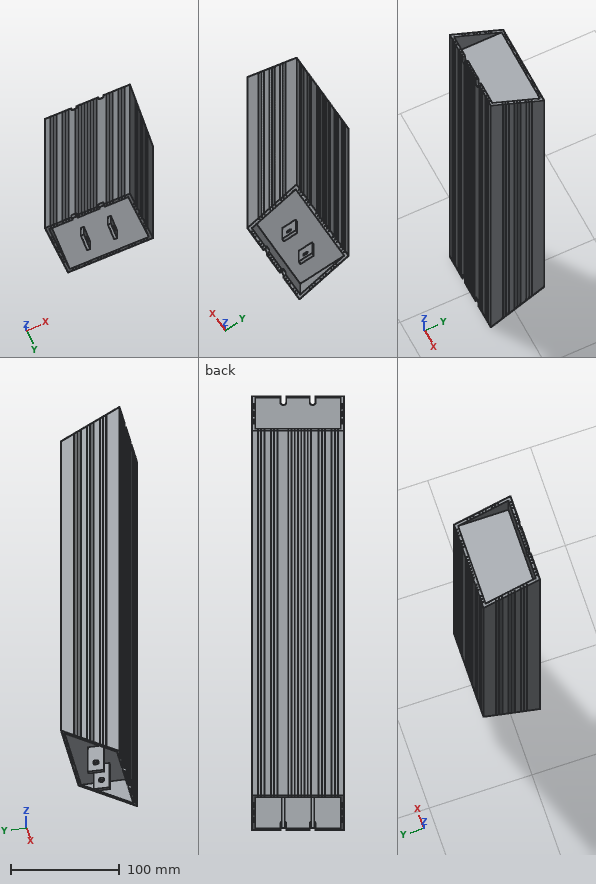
import cadquery as cq

width = 85.0
depth = 55.0
length = 400.0
wall = 3.0
miter_drop = 32.0

groove_width = 0.4
groove_depth = 1.5
groove_pitch = 3.0
grooves_per_group = 3
front_groups = (-34.0, -22.0, 22.0, 34.0)
middle_groove_count = 8
middle_groove_start = -12.0
side_groups = (-12.0, 0.0, 12.0)

notch_width = 5.0
notch_depth = 8.0
notch_offset = 13.5
notch_corner_radius = 2.0

lug_span = 30.0
lug_thickness = 3.0
lug_width = 15.0
lug_end_clearance = 2.0
lug_hole_diameter = 5.0
lug_hole_from_end = 9.75

core_bottom = miter_drop * (depth - wall) / depth
core_top = length - core_bottom


def make_box(size_x, size_y, bottom, top):
    """Box centred on the Z axis between two heights."""
    box = cq.Workplane("XY").workplane(offset=bottom)
    return box.rect(size_x, size_y).extrude(top - bottom)


def make_tube():
    """Rectangular tube cut at both ends by the miter planes."""
    half = depth / 2
    side_outline = [
        (-half, 0),
        (half, miter_drop),
        (half, length - miter_drop),
        (-half, length),
    ]
    body = cq.Workplane("YZ").polyline(side_outline).close().extrude(width / 2, both=True)
    return body.cut(make_box(width - 2 * wall, depth - 2 * wall, 0, length))


def group_positions(centre):
    """Groove positions of one group, spread evenly about its centre."""
    first = centre - groove_pitch * (grooves_per_group - 1) / 2
    return [first + groove_pitch * i for i in range(grooves_per_group)]


def groove_row(positions, face_distance):
    """Round-bottomed grooves along the face at y = -face_distance, as one cutting body."""
    half_width = groove_width / 2
    straight_end = groove_depth - half_width - face_distance
    grooves = cq.Workplane("XY")
    for x in positions:
        grooves = (
            grooves.moveTo(x - half_width, -face_distance)
            .lineTo(x + half_width, -face_distance)
            .lineTo(x + half_width, straight_end)
            .threePointArc((x, straight_end + half_width), (x - half_width, straight_end))
            .close()
        )
    return grooves.extrude(length)


def cut_grooves(body):
    """Cut the grooves into all four outer faces."""
    front_positions = [middle_groove_start + groove_pitch * i for i in range(middle_groove_count)]
    for centre in front_groups:
        front_positions += group_positions(centre)
    side_positions = []
    for centre in side_groups:
        side_positions += group_positions(centre)

    front_grooves = groove_row(front_positions, depth / 2)
    side_grooves = groove_row(side_positions, width / 2).rotate((0, 0, 0), (0, 0, 1), -90)
    for grooves, mirror_plane in ((front_grooves, "XZ"), (side_grooves, "YZ")):
        body = body.cut(grooves).cut(grooves.mirror(mirror_plane))
    return body


def notch_cutter():
    """Four notches through the -Y wall, with rounded inner corners."""
    points = [(x, z) for x in (-notch_offset, notch_offset) for z in (0, length)]
    notches = (
        cq.Workplane("XZ", origin=(0, -depth / 2, 0))
        .pushPoints(points)
        .rect(notch_width, 2 * notch_depth)
        .extrude(-wall)
    )
    return notches.edges("|Y").fillet(notch_corner_radius)


def make_lugs():
    """Two plates hanging below the core, drilled along X."""
    outer = make_box(lug_span, lug_width, lug_end_clearance, core_bottom)
    gap = make_box(lug_span - 2 * lug_thickness, lug_width, lug_end_clearance, core_bottom)
    hole = (
        cq.Workplane("YZ")
        .center(0, lug_end_clearance + lug_hole_from_end)
        .circle(lug_hole_diameter / 2)
        .extrude(lug_span / 2, both=True)
    )
    return outer.cut(gap).cut(hole)


tube = cut_grooves(make_tube()).cut(notch_cutter())
core = make_box(width - 2 * wall, depth - 2 * wall, core_bottom, core_top)
part = tube.union(core).union(make_lugs())
result = part.translate((0, 0, -length / 2))